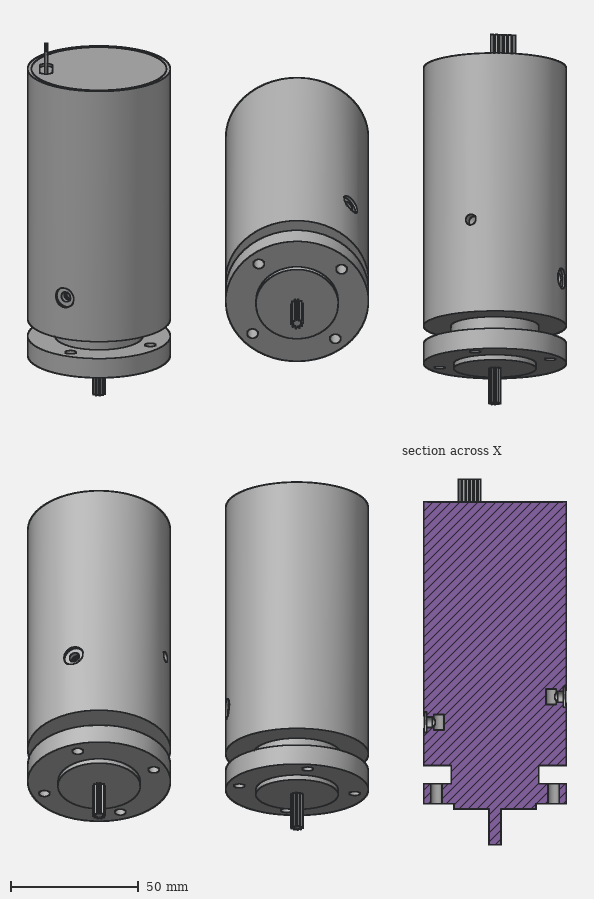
import cadquery as cq
import math

body_diameter = 56.0
body_height = 103.5
neck_diameter = 34.5
neck_height = 7.0
flange_thickness = 8.0
pilot_diameter = 32.3
pilot_height = 2.0

neck_bottom = flange_thickness
body_bottom = neck_bottom + neck_height
body_top = body_bottom + body_height
body_radius = body_diameter / 2

rim_width = 1.5
cap_recess = 0.1
cap_face = body_top - cap_recess

flange_hole_count = 4
flange_hole_diameter = 4.3
flange_hole_circle_radius = 23.0

pinion_length = 14.0
pinion_teeth = 10
pinion_module = 0.4
first_tooth_angle = 90.0
tooth_addendum = pinion_module
tooth_dedendum = 1.25 * pinion_module
pinion_pitch_radius = pinion_module * pinion_teeth / 2
pinion_tip_radius = pinion_pitch_radius + tooth_addendum
pinion_root_radius = pinion_pitch_radius - tooth_dedendum
tooth_tip_width = 0.7 * pinion_module
tooth_root_width = 2.0 * pinion_module

connector_angle = 208.7
connector_radius = 20.7
pocket_width = 5.0
pocket_length = 12.8
pocket_depth = 1.0
pin_count = 6
pin_pitch = 1.75
pin_diameter = 1.2
pin_rise = 8.8

spotface_diameter = 8.0
spotface_depth = 1.2
port_diameter = 4.0
port_depth = 3.5
port_core_diameter = 3.0
passage_diameter = 4.0
passage_height = 6.0
passage_depth = 6.0
front_port_height = body_bottom + 17.0
back_port_height = body_bottom + 27.0

side_hole_diameter = 4.2
side_hole_depth = 4.0
drill_point_depth = 1.2
side_hole_height = body_bottom + 37.0


def cylinder(diameter, bottom, height):
    """Vertical cylinder on the main axis."""
    return cq.Workplane("XY").workplane(offset=bottom).circle(diameter / 2).extrude(height)


def radial_plane(angle, height):
    """Plane on the body surface whose normal points outward at the given angle."""
    a = math.radians(angle)
    outward = (math.cos(a), math.sin(a), 0)
    sideways = (-math.sin(a), math.cos(a), 0)
    origin = (body_radius * outward[0], body_radius * outward[1], height)
    return cq.Plane(origin=origin, xDir=sideways, normal=outward)


def make_housing():
    housing = cylinder(body_diameter, body_bottom, body_height)
    housing = housing.union(cylinder(neck_diameter, neck_bottom, neck_height))
    housing = housing.union(cylinder(body_diameter, 0, flange_thickness))
    housing = housing.union(cylinder(pilot_diameter, -pilot_height, pilot_height))
    return housing.cut(cylinder(body_diameter - 2 * rim_width, cap_face, cap_recess))


def make_flange_holes():
    return (
        cq.Workplane("XY")
        .polarArray(flange_hole_circle_radius, 0, 360, flange_hole_count)
        .circle(flange_hole_diameter / 2)
        .extrude(flange_thickness)
    )


def make_pinion():
    bottom = -pilot_height - pinion_length
    pinion = cylinder(2 * pinion_root_radius, bottom, pinion_length)
    root_x = math.sqrt(pinion_root_radius**2 - (tooth_root_width / 2) ** 2)
    tip_x = math.sqrt(pinion_tip_radius**2 - (tooth_tip_width / 2) ** 2)
    tooth = (
        cq.Workplane("XY")
        .workplane(offset=bottom)
        .moveTo(0, -tooth_root_width / 2)
        .lineTo(root_x, -tooth_root_width / 2)
        .lineTo(tip_x, -tooth_tip_width / 2)
        .threePointArc((pinion_tip_radius, 0), (tip_x, tooth_tip_width / 2))
        .lineTo(root_x, tooth_root_width / 2)
        .lineTo(0, tooth_root_width / 2)
        .close()
        .extrude(pinion_length)
        .rotate((0, 0, 0), (0, 0, 1), first_tooth_angle)
    )
    for i in range(pinion_teeth):
        pinion = pinion.union(tooth.rotate((0, 0, 0), (0, 0, 1), i * 360 / pinion_teeth))
    return pinion


def connector_plane(height):
    """Workplane centred on the connector, with its X axis along the row of pins."""
    a = math.radians(connector_angle)
    origin = (connector_radius * math.cos(a), connector_radius * math.sin(a), height)
    row_direction = (-math.sin(a), math.cos(a), 0)
    return cq.Workplane(cq.Plane(origin=origin, xDir=row_direction, normal=(0, 0, 1)))


def add_connector(part):
    pocket_floor = cap_face - pocket_depth
    pocket = (
        connector_plane(pocket_floor)
        .slot2D(pocket_length, pocket_width)
        .extrude(body_top - pocket_floor)
    )
    pins = (
        connector_plane(pocket_floor)
        .rarray(pin_pitch, 1, pin_count, 1)
        .circle(pin_diameter / 2)
        .extrude(body_top + pin_rise - pocket_floor)
    )
    return part.cut(pocket).union(pins)


def make_port(angle, height):
    plane = radial_plane(angle, height)
    spotface = cq.Workplane(plane).circle(spotface_diameter / 2).extrude(-spotface_depth)
    bore = cq.Workplane(plane).circle(port_diameter / 2).extrude(-port_depth)
    core = cq.Workplane(plane).circle(port_core_diameter / 2).extrude(-passage_depth)
    axis_point = plane.origin - plane.zDir * passage_depth
    passage = (
        cq.Workplane("XY", origin=axis_point.toTuple())
        .circle(passage_diameter / 2)
        .extrude(passage_height / 2, both=True)
    )
    return spotface.union(bore).union(core).union(passage)


def make_side_hole():
    plane = radial_plane(180, side_hole_height)
    bore = cq.Workplane(plane).circle(side_hole_diameter / 2).extrude(-side_hole_depth)
    point_base = plane.origin - plane.zDir * side_hole_depth
    point = cq.Solid.makeCone(side_hole_diameter / 2, 0, drill_point_depth, point_base, -plane.zDir)
    return bore.union(cq.Workplane(point))


result = make_housing().cut(make_flange_holes()).union(make_pinion())
result = add_connector(result)
result = result.cut(make_port(270, front_port_height))
result = result.cut(make_port(90, back_port_height))
result = result.cut(make_side_hole())